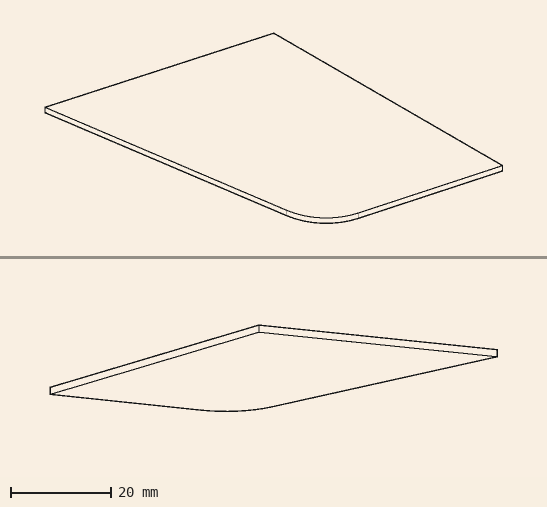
import cadquery as cq

length = 75.55
thickness = 1.5

left_edge_height = 50.5
upper_right_x = 54.2
lower_right_x = 54.5
lower_right_y = 35.4
corner_radius = 15.0

plate = (
    cq.Workplane("XY")
    .moveTo(0, 0)
    .lineTo(lower_right_x, lower_right_y)
    .lineTo(upper_right_x, length)
    .lineTo(0, left_edge_height)
    .close()
    .extrude(thickness)
)

corner_point = (lower_right_x, lower_right_y, thickness / 2)
result = plate.edges(cq.selectors.NearestToPointSelector(corner_point)).fillet(corner_radius)